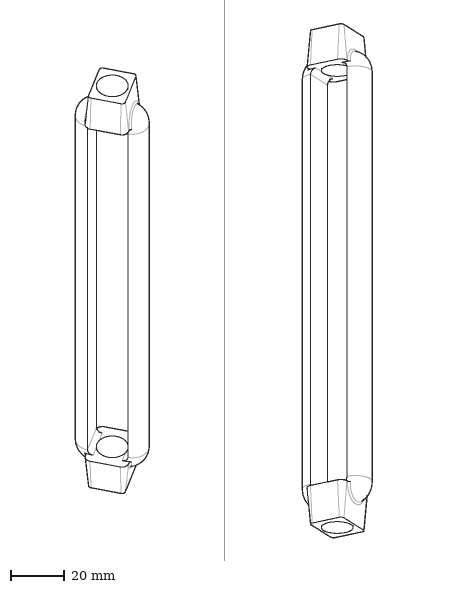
import cadquery as cq

length = 200.0
width = 28.5

block_height = 14.8
block_inner_x = 17.0
block_inner_y = 20.0
block_corner_radius = 2.5
block_draft = 5.0
bore_diameter = 12.0

bar_radius = 6.5
bend_inner_radius = 2.2
joint_fillet = 1.0

block_inner_z = length / 2 - block_height
bar_flat_x = width / 2 - bar_radius
bend_z = block_inner_z - bend_inner_radius
bend_top_z = bend_z + bend_inner_radius + bar_radius
bend_angle = 90


def make_block():
    """Upper end block, a rounded rectangle tapering upwards."""
    outline = cq.Sketch().rect(block_inner_x, block_inner_y).vertices().fillet(block_corner_radius)
    return (
        cq.Workplane("XY", origin=(0, 0, block_inner_z))
        .placeSketch(outline)
        .extrude(block_height, taper=block_draft)
    )


def half_round_section():
    """Section of the +X bar at the start of its bend."""
    return (
        cq.Workplane("XY", origin=(bar_flat_x, 0, bend_z))
        .moveTo(0, -bar_radius)
        .threePointArc((bar_radius, 0), (0, bar_radius))
        .close()
    )


def make_half_bar():
    """Upper half of the +X bar: straight from mid-length, then bent into the block."""
    straight = half_round_section().extrude(-bend_z)
    bend = half_round_section().revolve(
        bend_angle,
        (-bend_inner_radius, 2, 0),
        (-bend_inner_radius, 0, 0),
    )
    return straight.union(bend)


def soften_joints(body):
    """Fillet the curved edges where the bends run into the side faces of the block."""
    joints = cq.selectors.BoxSelector(
        (-bar_flat_x - bar_radius, -bar_radius / 2, block_inner_z + joint_fillet),
        (bar_flat_x + bar_radius, bar_radius / 2, bend_top_z),
    )
    return body.edges(joints).fillet(joint_fillet)


half_bar = make_half_bar()
upper_half = make_block().union(half_bar).union(half_bar.mirror("YZ"))
upper_half = soften_joints(upper_half)

bore = cq.Workplane("XY").circle(bore_diameter / 2).extrude(length / 2)
upper_half = upper_half.cut(bore)

result = upper_half.union(upper_half.mirror("XY"))